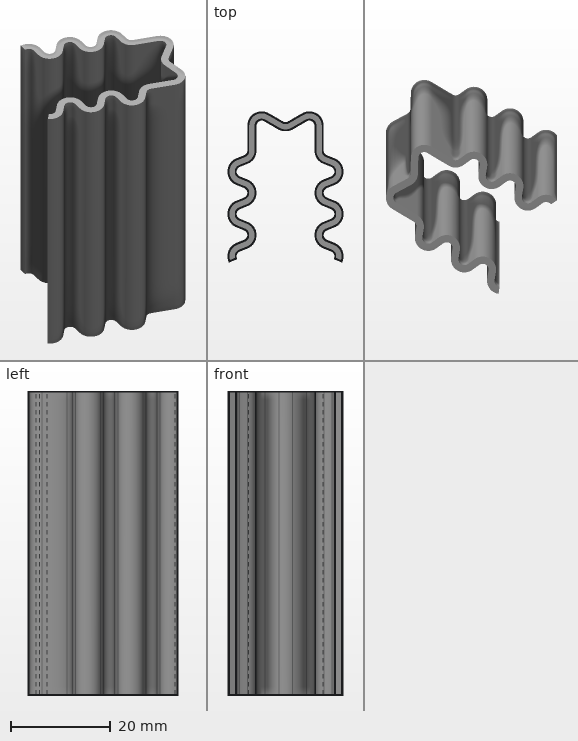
import cadquery as cq
import math

length = 61.0
thickness = 1.5
overall_width = 23.0
channel_width = 15.0
bend_radius = 1.95
flat_wall_length = 5.0
crown_angle = 30.0
fold_turn = 67.9
fold_count = 2
tip_turn = 23.0

half_thickness = thickness / 2
wall_x = channel_width / 2 - half_thickness
fold_depth = (overall_width - channel_width) / 2
crown_rad = math.radians(crown_angle)
fold_rad = math.radians(fold_turn)
crown_leg = (wall_x - bend_radius - 2 * bend_radius * math.sin(crown_rad)) / math.cos(crown_rad)
fold_leg = (fold_depth - 2 * bend_radius * (1 - math.cos(fold_rad))) / math.sin(fold_rad)


def straight(distance):
    """Go straight ahead by the given distance."""
    return ("straight", distance)


def bend(turn):
    """Bend by the given angle in degrees, positive to the left of travel."""
    return ("bend", turn)


def half_path():
    """Centreline steps from the middle of the crown to the free end of the -X side."""
    steps = [bend(-crown_angle), straight(crown_leg)]
    steps += [bend(90 + crown_angle), straight(flat_wall_length)]
    steps += [bend(-fold_turn), straight(fold_leg)]
    for _ in range(fold_count):
        steps += [bend(2 * fold_turn), straight(fold_leg)]
        steps += [bend(-2 * fold_turn), straight(fold_leg)]
    steps += [bend(fold_turn + tip_turn)]
    return steps


def beside(point, heading, offset):
    """Point at the given distance to the left of a pose; heading in degrees."""
    angle = math.radians(heading + 90)
    return (point[0] + offset * math.cos(angle), point[1] + offset * math.sin(angle))


def advance(point, heading, step):
    """Pose at the end of one centreline step."""
    kind, amount = step
    if kind == "straight":
        return beside(point, heading - 90, amount), heading
    side = math.copysign(bend_radius, amount)
    center = beside(point, heading, side)
    return beside(center, heading + amount, -side), heading + amount


def first_half(step):
    """The same step cut off at its midpoint."""
    kind, amount = step
    return (kind, amount / 2)


def add_edge(outline, step, middle, pose, offset):
    """Draw one face edge of a step, at an offset from the centreline."""
    if step[0] == "straight":
        return outline.lineTo(*beside(*pose, offset))
    return outline.threePointArc(beside(*middle, offset), beside(*pose, offset))


def half_profile():
    """Closed outline of the -X half of the sheet, as a workplane ready to extrude."""
    steps = half_path()
    poses = [((0.0, 0.0), 180.0)]
    for step in steps:
        poses.append(advance(*poses[-1], step))
    middles = [advance(*pose, first_half(step)) for pose, step in zip(poses, steps)]

    outline = cq.Workplane("XY").moveTo(*beside(*poses[0], half_thickness))
    for step, middle, pose in zip(steps, middles, poses[1:]):
        outline = add_edge(outline, step, middle, pose, half_thickness)
    outline = outline.lineTo(*beside(*poses[-1], -half_thickness))
    for step, middle, pose in zip(reversed(steps), reversed(middles), reversed(poses[:-1])):
        outline = add_edge(outline, step, middle, pose, -half_thickness)
    return outline.close()


half = half_profile().extrude(length)
result = half.union(half.mirror("YZ")).clean()